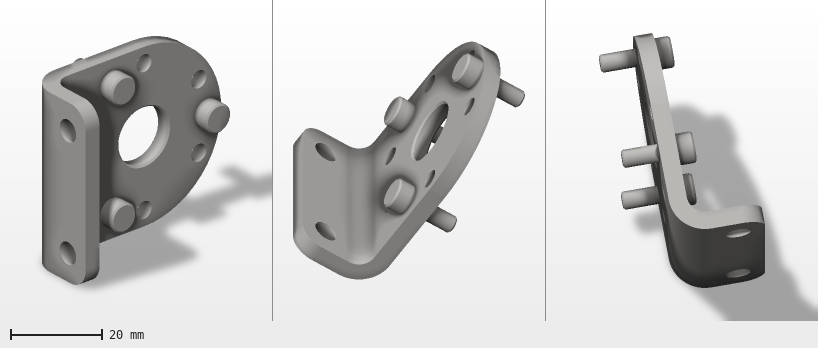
import cadquery as cq
import math

thickness = 4.0
height = 44.0
length = 52.0
flange_reach = 19.95
inner_bend_radius = 4.0
outer_bend_radius = inner_bend_radius + thickness
flange_corner_radius = 5.0

end_radius = height / 2
flange_y = end_radius - length

bore_diameter = 14.0
bore_chamfer = 0.4

bolt_circle_radius = 18.0
clearance_diameter = 4.3
screw_angles = [0, 120, 240]
open_hole_angles = [30, 90, 150, 210, 270, 330]

flange_hole_diameter = 5.5
flange_hole_edge_distance = 6.0
flange_hole_spacing = 30.0

shank_diameter = 4.0
shank_projection = 8.0
shank_chamfer = 0.4
head_diameter = 7.0
head_height = 4.0
head_chamfer = 0.4


def bolt_circle_point(angle):
    """Y and Z of a position on the bolt circle."""
    turn = math.radians(angle)
    return bolt_circle_radius * math.cos(turn), bolt_circle_radius * math.sin(turn)


def bent_strip():
    """L-shaped strip of constant thickness with a rounded bend, extruded over the full height."""
    strip = (
        cq.Workplane("XY")
        .workplane(offset=-height / 2)
        .moveTo(0, end_radius)
        .lineTo(0, flange_y)
        .lineTo(flange_reach, flange_y)
        .lineTo(flange_reach, flange_y + thickness)
        .lineTo(thickness, flange_y + thickness)
        .lineTo(thickness, end_radius)
        .close()
        .extrude(height)
    )
    outer_corner = cq.selectors.NearestToPointSelector((0, flange_y, 0))
    inner_corner = cq.selectors.NearestToPointSelector((thickness, flange_y + thickness, 0))
    strip = strip.edges("|Z").edges(outer_corner).fillet(outer_bend_radius)
    return strip.edges("|Z").edges(inner_corner).fillet(inner_bend_radius)


def round_ended_block():
    """Block with the bracket's outline in the YZ plane: straight sides and a full-round +Y end."""
    return (
        cq.Workplane("YZ")
        .moveTo(flange_y, -end_radius)
        .lineTo(0, -end_radius)
        .threePointArc((end_radius, 0), (0, end_radius))
        .lineTo(flange_y, end_radius)
        .close()
        .extrude(flange_reach)
    )


def plate_hole(diameter, y, z):
    """Cutter through the plate along X."""
    return cq.Workplane("YZ").center(y, z).circle(diameter / 2).extrude(thickness)


def bore_cutter():
    """Central hole, widening by a chamfer at both plate faces."""
    bore_radius = bore_diameter / 2
    mouth_radius = bore_radius + bore_chamfer
    return (
        cq.Workplane("XY")
        .moveTo(0, 0)
        .lineTo(0, mouth_radius)
        .lineTo(bore_chamfer, bore_radius)
        .lineTo(thickness - bore_chamfer, bore_radius)
        .lineTo(thickness, mouth_radius)
        .lineTo(thickness, 0)
        .close()
        .revolve(360, (0, 0, 0), (1, 0, 0))
    )


def flange_hole(z):
    """Cutter through the flange along Y."""
    x = flange_reach - flange_hole_edge_distance
    return cq.Workplane(
        cq.Solid.makeCylinder(
            flange_hole_diameter / 2, thickness, cq.Vector(x, flange_y, z), cq.Vector(0, 1, 0)
        )
    )


def make_bracket():
    bracket = bent_strip().intersect(round_ended_block())
    bracket = bracket.edges("|Y and >X").fillet(flange_corner_radius)
    bracket = bracket.cut(bore_cutter())
    for angle in screw_angles + open_hole_angles:
        y, z = bolt_circle_point(angle)
        bracket = bracket.cut(plate_hole(clearance_diameter, y, z))
    for z in (-flange_hole_spacing / 2, flange_hole_spacing / 2):
        bracket = bracket.cut(flange_hole(z))
    return bracket


def make_screw(angle):
    """Cap screw at one position of the bolt circle, its head seated on the plate's inner face."""
    y, z = bolt_circle_point(angle)
    shank = (
        cq.Workplane("YZ", origin=(-shank_projection, y, z))
        .circle(shank_diameter / 2)
        .extrude(shank_projection + thickness)
        .faces("<X")
        .chamfer(shank_chamfer)
    )
    head = (
        cq.Workplane("YZ", origin=(thickness, y, z))
        .circle(head_diameter / 2)
        .extrude(head_height)
        .faces(">X")
        .chamfer(head_chamfer)
    )
    return shank.union(head)


bracket = make_bracket()
screws = [make_screw(angle) for angle in screw_angles]

result = cq.Compound.makeCompound([bracket.val(), *[screw.val() for screw in screws]])